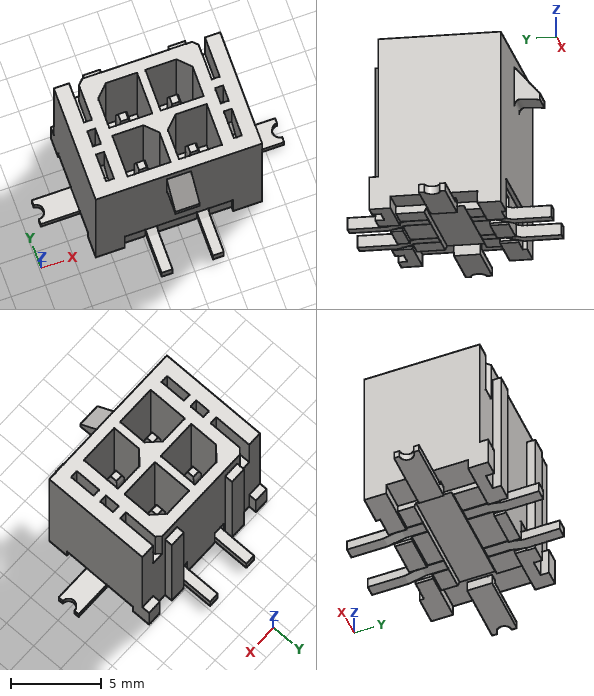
import cadquery as cq


HOUSING_WIDTH = 9.71
HOUSING_DEPTH = 6.86
HOUSING_HEIGHT = 9.9
FRONT_Y = -HOUSING_DEPTH / 2
BACK_Y = HOUSING_DEPTH / 2

PITCH = 3.0
POCKET_SIDE = 2.51
POCKET_CORNER = 0.7
POCKET_FLOOR_Z = 2.84

PIN_SIDE = 0.64
PIN_TOP_Z = 7.1
TIP_SIDE = 0.44
TIP_LENGTH = 0.4
LEAD_HEIGHT = 0.68
LEAD_RISE = 0.25
TOTAL_DEPTH = 11.4
LEAD_REACH = TOTAL_DEPTH / 2
BEND_OUTER = 3.51
BEND_INNER = 2.48
LEAD_SLOT_WIDTH = 0.72
LEAD_SLOT_TOP_Z = 1.52
LEAD_SLOT_CHAMFER = 0.1

SLOT_WIDTH = 0.47
SLOT_INNER_X = 3.5
SLOT_OUTER_X = SLOT_INNER_X + SLOT_WIDTH
SLOT_FLOOR_Z = 7.1
FRONT_SLOT_NEAR_Y = -0.97
FRONT_SLOT_FAR_Y = -2.61
FRONT_SLOT_RAMP = 0.55
REAR_SLOT_NEAR_Y = 1.01
REAR_SLOT_RAMP = 0.5
MIDDLE_SLOT_LENGTH = 0.94
REAR_CORNER = 0.28

NAIL_REACH = 7.1
NAIL_WIDTH = 1.48
NAIL_THICKNESS = 0.45
NAIL_NOTCH_RADIUS = 0.43

FOOT_CLEARANCE = 0.68
GAP_FRONT_Y = -2.13
GAP_BACK_Y = 2.74
BASE_Z = 0.25
CHANNEL_Z = 0.48
CHANNEL_HALF_BOTTOM = 1.16
CHANNEL_HALF_TOP = 1.05
RECESS_WIDTH = 6.32
RECESS_HEIGHT = 1.89
RECESS_DEPTH = 0.25

REAR_PROJECTION = 0.5
LUG_HEIGHT = 1.87
RIB_CENTER_X = 2.48
RIB_WIDTH = 1
RIB_TOP_Z = 8.89
LATCH_WIDTH = 1.42
LATCH_PROJECTION = 1.42
LATCH_TOP_Z = 9.26
LATCH_NOSE_TOP_Z = 7.65
LATCH_NOSE_BOTTOM_Z = 7.28
LATCH_ROOT_BOTTOM_Z = 7.38
LATCH_FILLET = 0.35

SIDES = (-1, 1)


def block(x_range, y_range, z_range):
    """Box between two limits along each axis, given in either order."""
    x0, x1 = sorted(x_range)
    y0, y1 = sorted(y_range)
    z0, z1 = sorted(z_range)
    return cq.Workplane("XY").box(x1 - x0, y1 - y0, z1 - z0, centered=False).translate((x0, y0, z0))


def side_profile(points, x0, x1):
    """Outline of (y, z) points extruded along X from x0 to x1."""
    return cq.Workplane("YZ").workplane(offset=x0).polyline(points).close().extrude(x1 - x0)


def make_latch():
    """Wedge with a hooked underside on the front wall."""
    nose_y = FRONT_Y - LATCH_PROJECTION
    outline = (
        cq.Workplane("YZ")
        .workplane(offset=-LATCH_WIDTH / 2)
        .moveTo(FRONT_Y, LATCH_TOP_Z)
        .lineTo(nose_y, LATCH_NOSE_TOP_Z)
        .lineTo(nose_y, LATCH_NOSE_BOTTOM_Z)
        .lineTo(FRONT_Y - LATCH_FILLET, LATCH_ROOT_BOTTOM_Z)
        .radiusArc((FRONT_Y, LATCH_ROOT_BOTTOM_Z - LATCH_FILLET), LATCH_FILLET)
        .close()
    )
    return outline.extrude(LATCH_WIDTH)


def make_pocket(side_x, side_y):
    """Pocket with one cut rear corner: the outer one in the rear row, the inner one in the front row."""
    half = POCKET_SIDE / 2
    cut_side = side_x * side_y
    outline = [
        (-cut_side * half, -half),
        (cut_side * half, -half),
        (cut_side * half, half - POCKET_CORNER),
        (cut_side * (half - POCKET_CORNER), half),
        (-cut_side * half, half),
    ]
    return (
        cq.Workplane("XY")
        .workplane(offset=POCKET_FLOOR_Z)
        .center(side_x * PITCH / 2, side_y * PITCH / 2)
        .polyline(outline)
        .close()
        .extrude(HOUSING_HEIGHT - POCKET_FLOOR_Z)
    )


def make_contact_opening(side_x, side_y):
    """Hole through the pocket floor, with a slot at the bottom that lets the lead out."""
    x = side_x * PITCH / 2
    half = LEAD_SLOT_WIDTH / 2
    pin_y = side_y * PITCH / 2
    pin_back_y = side_y * (PITCH - PIN_SIDE) / 2
    walls = (x - half, x + half)
    hole = block(walls, (pin_y - PIN_SIDE / 2, pin_y + PIN_SIDE / 2), (0, POCKET_FLOOR_Z))
    slot = block(walls, (pin_back_y, side_y * BACK_Y), (0, LEAD_SLOT_TOP_Z))
    mouth = (
        cq.Workplane("XZ", origin=(x, pin_back_y, 0))
        .polyline([
            (-half - LEAD_SLOT_CHAMFER, 0),
            (half + LEAD_SLOT_CHAMFER, 0),
            (half, LEAD_SLOT_CHAMFER),
            (-half, LEAD_SLOT_CHAMFER),
        ])
        .close()
        .extrude(-side_y * (BACK_Y - abs(pin_back_y)))
    )
    return hole.union(slot).union(mouth)


def make_side_slots(side_x):
    """Front, middle and rear slots of one side wall, and the cut corner at the rear one."""
    x0, x1 = sorted((side_x * SLOT_INNER_X, side_x * SLOT_OUTER_X))
    front = side_profile(
        [
            (FRONT_SLOT_FAR_Y, HOUSING_HEIGHT),
            (FRONT_SLOT_FAR_Y, SLOT_FLOOR_Z),
            (FRONT_SLOT_NEAR_Y - FRONT_SLOT_RAMP, SLOT_FLOOR_Z),
            (FRONT_SLOT_NEAR_Y, SLOT_FLOOR_Z + FRONT_SLOT_RAMP),
            (FRONT_SLOT_NEAR_Y, HOUSING_HEIGHT),
        ],
        x0, x1,
    )
    half_length = MIDDLE_SLOT_LENGTH / 2
    middle = block((x0, x1), (-half_length, half_length), (0, HOUSING_HEIGHT))
    rear = side_profile(
        [
            (REAR_SLOT_NEAR_Y, HOUSING_HEIGHT),
            (REAR_SLOT_NEAR_Y, SLOT_FLOOR_Z + REAR_SLOT_RAMP),
            (REAR_SLOT_NEAR_Y + REAR_SLOT_RAMP, SLOT_FLOOR_Z),
            (BACK_Y, SLOT_FLOOR_Z),
            (BACK_Y, HOUSING_HEIGHT),
        ],
        x0, x1,
    )
    corner = (
        cq.Workplane("XY")
        .workplane(offset=SLOT_FLOOR_Z)
        .moveTo(side_x * SLOT_INNER_X, BACK_Y)
        .lineTo(side_x * (SLOT_INNER_X - REAR_CORNER), BACK_Y)
        .lineTo(side_x * SLOT_INNER_X, BACK_Y - REAR_CORNER)
        .close()
        .extrude(HOUSING_HEIGHT - SLOT_FLOOR_Z)
    )
    return front.union(middle).union(rear).union(corner)


def make_underside_cut():
    """Space between the feet: low in the middle, higher under the side walls, with a cross channel."""
    half_width = HOUSING_WIDTH / 2
    gap_y = (GAP_FRONT_Y, GAP_BACK_Y)
    cut = block((-half_width, half_width), gap_y, (0, BASE_Z))
    for side in SIDES:
        cut = cut.union(block((side * RECESS_WIDTH / 2, side * half_width), gap_y, (0, FOOT_CLEARANCE)))
    channel = side_profile(
        [
            (-CHANNEL_HALF_BOTTOM, BASE_Z),
            (CHANNEL_HALF_BOTTOM, BASE_Z),
            (CHANNEL_HALF_TOP, CHANNEL_Z),
            (-CHANNEL_HALF_TOP, CHANNEL_Z),
        ],
        -half_width, half_width,
    )
    return cut.union(channel)


def make_housing():
    half_width = HOUSING_WIDTH / 2
    half_recess = RECESS_WIDTH / 2
    rear_y = (BACK_Y, BACK_Y + REAR_PROJECTION)
    body = block((-half_width, half_width), (FRONT_Y, BACK_Y), (0, HOUSING_HEIGHT)).union(make_latch())
    for side in SIDES:
        rib_inner = side * (RIB_CENTER_X - RIB_WIDTH / 2)
        rib_outer = side * (RIB_CENTER_X + RIB_WIDTH / 2)
        body = body.union(block((side * SLOT_OUTER_X, side * half_width), rear_y, (0, LUG_HEIGHT)))
        body = body.union(block((rib_inner, rib_outer), rear_y, (0, RIB_TOP_Z)))

    body = body.cut(block((-half_recess, half_recess), (FRONT_Y, FRONT_Y + RECESS_DEPTH), (0, RECESS_HEIGHT)))
    body = body.cut(make_underside_cut())
    for side_x in SIDES:
        body = body.cut(make_side_slots(side_x))
        for side_y in SIDES:
            body = body.cut(make_pocket(side_x, side_y))
            body = body.cut(make_contact_opening(side_x, side_y))
    return body


def make_contact(side_x, side_y):
    """Pin with a tapered tip whose foot bends outward and steps down onto the board."""
    x = side_x * PITCH / 2
    pin_inner = (PITCH - PIN_SIDE) / 2
    pin_outer = (PITCH + PIN_SIDE) / 2
    shoulder_z = PIN_TOP_Z - TIP_LENGTH
    outline = [
        (pin_inner, shoulder_z),
        (pin_inner, LEAD_RISE),
        (BEND_INNER, LEAD_RISE),
        (BEND_OUTER, 0),
        (LEAD_REACH, 0),
        (LEAD_REACH, LEAD_HEIGHT),
        (BEND_OUTER, LEAD_HEIGHT),
        (BEND_INNER, LEAD_RISE + LEAD_HEIGHT),
        (pin_outer, LEAD_RISE + LEAD_HEIGHT),
        (pin_outer, shoulder_z),
    ]
    outline = [(side_y * distance, z) for distance, z in outline]
    stem = side_profile(outline, x - PIN_SIDE / 2, x + PIN_SIDE / 2)
    tip = (
        cq.Workplane("XY", origin=(x, side_y * PITCH / 2, shoulder_z))
        .rect(PIN_SIDE, PIN_SIDE)
        .workplane(offset=TIP_LENGTH)
        .rect(TIP_SIDE, TIP_SIDE)
        .loft()
    )
    return stem.union(tip)


def make_nail(side_x):
    """Flat foot with a notched end, a leg against the housing and a tongue that fills the middle slot."""
    half_width = NAIL_WIDTH / 2
    half_tongue = MIDDLE_SLOT_LENGTH / 2
    leg_x = (side_x * SLOT_INNER_X, side_x * SLOT_OUTER_X)
    foot = block((side_x * SLOT_INNER_X, side_x * NAIL_REACH), (-half_width, half_width), (0, NAIL_THICKNESS))
    notch = (
        cq.Workplane("XY", origin=(side_x * NAIL_REACH, 0, 0))
        .circle(NAIL_NOTCH_RADIUS)
        .extrude(NAIL_THICKNESS)
    )
    leg = block(leg_x, (-half_width, half_width), (0, FOOT_CLEARANCE))
    tongue = block(leg_x, (-half_tongue, half_tongue), (0, SLOT_FLOOR_Z))
    return foot.cut(notch).union(leg).union(tongue)


housing = make_housing()
contacts = [make_contact(side_x, side_y).val() for side_x in SIDES for side_y in SIDES]
nails = [make_nail(side_x).val() for side_x in SIDES]

result = cq.Compound.makeCompound([housing.val(), *contacts, *nails])